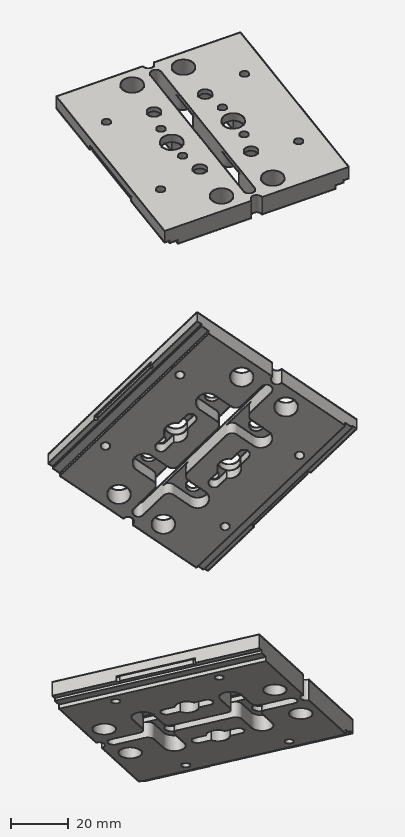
import cadquery as cq

length = 80.0
width = 72.0
thickness = 8.0

edge_steps = [(2.0, 2.6), (5.2, 1.6)]

slot_width = 4.2
slot_length = 73.0

inner_row = 10.0
pin_row = 12.0
corner_hole = (20.0, 27.0, 3.2)
end_hole = (33.0, inner_row, 8.2)
middle_hole = (17.0, inner_row, 5.1)
center_hole = (0.0, pin_row, 8.2)
pin_hole = (8.0, pin_row, 3.2)

cross_pocket_width = 8.0
cross_pocket_flare_radius = 2.5
cross_pocket_length = 2 * pin_row + cross_pocket_width
cross_pocket_depth = 6.0
shallow_depth = 4.5
pin_pocket_width = 4.0
pin_pocket_length = 2 * pin_hole[0] + pin_pocket_width
center_recess_diameter = 8.3

edge_notch_length = 30.4
edge_notch_inset = 0.5
edge_notch_relief_radius = 0.5


def stepped_plate():
    """Plate centred in X and Y, bottom face at Z = 0, with both long edges stepped."""
    plate = cq.Workplane("XY").box(length, width, thickness, centered=(True, True, False))
    for inset, height in edge_steps:
        step = cq.Workplane("XY").box(length, inset, height, centered=(True, True, False))
        for side in (-1, 1):
            plate = plate.cut(step.translate((0, side * (width - inset) / 2, 0)))
    return plate


def four_corners(x, y):
    """Points in all four quadrants at the given distances from the centre."""
    return [(i * x, j * y) for i in (-1, 1) for j in (-1, 1)]


def through_holes(hole):
    """Cylinders mirrored about both centre planes."""
    x, y, diameter = hole
    points = four_corners(x, y) if x else [(0, -y), (0, y)]
    return cq.Workplane("XY").pushPoints(points).circle(diameter / 2).extrude(thickness)


def center_slot():
    """Long round-ended slot on the X axis, through the full thickness."""
    return cq.Workplane("XY").slot2D(slot_length, slot_width).extrude(thickness)


def end_notches():
    """Half-round notches in the two short sides, in line with the slot."""
    points = [(-length / 2, 0), (length / 2, 0)]
    return cq.Workplane("XY").pushPoints(points).circle(slot_width / 2).extrude(thickness)


def cross_pockets():
    """Round-ended pockets under the middle holes, flared by rounded corners at the slot they cross."""
    x = middle_hole[0]
    outer = cross_pocket_width / 2 + cross_pocket_flare_radius
    flare_top = slot_width / 2 + cross_pocket_flare_radius
    pocket = (
        cq.Workplane("XY")
        .slot2D(cross_pocket_length, cross_pocket_width, 90)
        .extrude(cross_pocket_depth)
    )
    flare = (
        cq.Workplane("XY")
        .rect(2 * outer, 2 * flare_top)
        .extrude(cross_pocket_depth)
    )
    flare_corners = (
        cq.Workplane("XY")
        .pushPoints(four_corners(outer, flare_top))
        .circle(cross_pocket_flare_radius)
        .extrude(cross_pocket_depth)
    )
    pocket = pocket.union(flare.cut(flare_corners))
    return pocket.translate((-x, 0, 0)).union(pocket.translate((x, 0, 0)))


def pin_pockets():
    """Round-ended pockets under the pin holes, each with a round recess around its centre hole."""
    centers = [(0, -pin_row), (0, pin_row)]
    arms = (
        cq.Workplane("XY")
        .pushPoints(centers)
        .slot2D(pin_pocket_length, pin_pocket_width)
        .extrude(shallow_depth)
    )
    recesses = (
        cq.Workplane("XY")
        .pushPoints(centers)
        .circle(center_recess_diameter / 2)
        .extrude(shallow_depth)
    )
    return arms.union(recesses)


def edge_notches():
    """Shallow notches open to the long sides, with a round relief groove in each inner corner."""
    relief_x = edge_notch_length / 2 - edge_notch_relief_radius
    relief_y = width / 2 - edge_notch_inset
    notches = (
        cq.Workplane("XY")
        .pushPoints([(0, -width / 2), (0, width / 2)])
        .rect(edge_notch_length, 2 * edge_notch_inset)
        .extrude(shallow_depth)
    )
    reliefs = (
        cq.Workplane("XY")
        .pushPoints(four_corners(relief_x, relief_y))
        .circle(edge_notch_relief_radius)
        .extrude(shallow_depth)
    )
    return notches.union(reliefs)


result = stepped_plate()
for hole in (corner_hole, end_hole, middle_hole, center_hole, pin_hole):
    result = result.cut(through_holes(hole))
for cutter in (center_slot(), end_notches(), cross_pockets(), pin_pockets(), edge_notches()):
    result = result.cut(cutter)